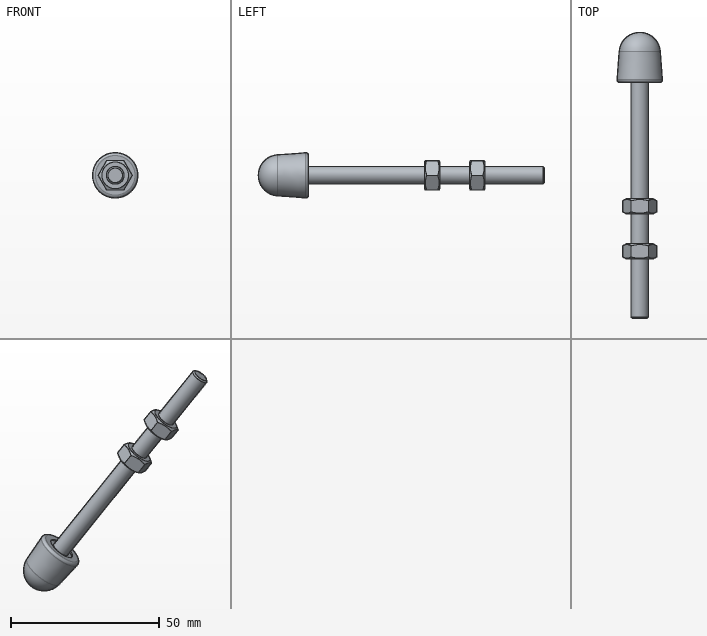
import cadquery as cq
import math

stud_diameter = 6.0
stud_tip_diameter = 4.92
stud_tip_length = 0.5

nut_across_flats = 10.0
nut_thickness = 5.2
nut_gap = 10.0
first_nut_start = 20.0
nut_face_diameter = 9.0
nut_chamfer_angle = math.radians(30)

overall_length = 96.5
cap_length = 17.0
nose_radius = 7.0
cap_max_diameter = 15.35
cap_rim_radius = 1.0

recess_diameter = 9.0
recess_depth = 0.5

cap_base = overall_length - cap_length
nose_center = overall_length - nose_radius
nut_starts = (first_nut_start, first_nut_start + nut_thickness + nut_gap)


def revolve_about_y(profile):
    """Close a half profile along the Y axis and revolve it a full turn."""
    return profile.close().revolve(360, (0, 0, 0), (0, 1, 0))


def make_stud():
    """Plain rod with a chamfered tip; its other end is buried in the cap at the nose center."""
    radius = stud_diameter / 2
    profile = (
        cq.Workplane("XY")
        .lineTo(stud_tip_diameter / 2, 0)
        .lineTo(radius, stud_tip_length)
        .lineTo(radius, nose_center)
        .lineTo(0, nose_center)
    )
    return revolve_about_y(profile)


def make_nut(start):
    """Hex nut with corners on the X axis and both faces chamfered by a cone."""
    corner_diameter = nut_across_flats / math.cos(math.pi / 6)
    face_radius = nut_face_diameter / 2
    corner_radius = corner_diameter / 2
    chamfer_height = (corner_radius - face_radius) * math.tan(nut_chamfer_angle)
    end = start + nut_thickness
    hexagon = (
        cq.Workplane("XZ", origin=(0, start, 0))
        .polygon(6, corner_diameter)
        .extrude(-nut_thickness)
    )
    envelope = (
        cq.Workplane("XY")
        .moveTo(0, start)
        .lineTo(face_radius, start)
        .lineTo(corner_radius, start + chamfer_height)
        .lineTo(corner_radius, end - chamfer_height)
        .lineTo(face_radius, end)
        .lineTo(0, end)
    )
    return hexagon.intersect(revolve_about_y(envelope))


def arc_point(center, radius, angle):
    """Point on a circle in the XY plane, the angle measured from +X."""
    return (
        center[0] + radius * math.cos(angle),
        center[1] + radius * math.sin(angle),
    )


def make_cap():
    """Drafted cap: rounded rim, straight conical wall and a tangent spherical nose."""
    rim_center = (cap_max_diameter / 2 - cap_rim_radius, cap_base + cap_rim_radius)
    nose = (0, nose_center)

    rim_to_nose = nose_center - rim_center[1]
    center_distance = math.hypot(rim_center[0], rim_to_nose)
    wall_offset = math.acos((nose_radius - cap_rim_radius) / center_distance)
    draft = wall_offset - math.atan2(rim_to_nose, rim_center[0])

    rim_middle = (draft - math.pi / 2) / 2
    nose_middle = (draft + math.pi / 2) / 2
    profile = (
        cq.Workplane("XY")
        .moveTo(0, cap_base)
        .lineTo(rim_center[0], cap_base)
        .threePointArc(
            arc_point(rim_center, cap_rim_radius, rim_middle),
            arc_point(rim_center, cap_rim_radius, draft),
        )
        .lineTo(*arc_point(nose, nose_radius, draft))
        .threePointArc(arc_point(nose, nose_radius, nose_middle), (0, overall_length))
    )
    recess = (
        cq.Workplane("XZ", origin=(0, cap_base, 0))
        .circle(recess_diameter / 2)
        .extrude(-recess_depth)
    )
    return revolve_about_y(profile).cut(recess)


result = make_cap().union(make_stud())
for nut_start in nut_starts:
    result = result.union(make_nut(nut_start))